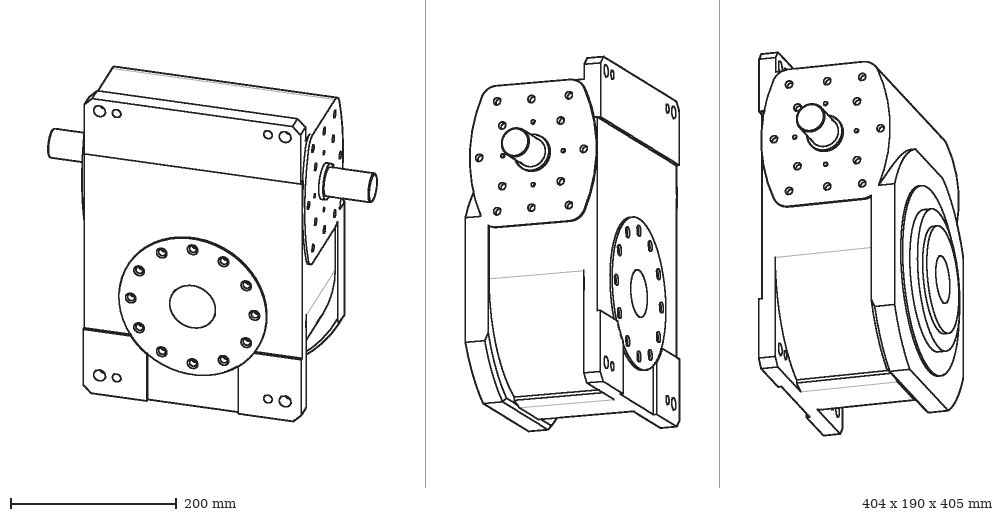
import cadquery as cq
import math


BODY_HALF = 137.3
BARREL_HALF = 140.0
TOP_FLANGE_HALF = 136.0

TOP_Z = 265.5
BODY_TOP_Z = 188.7
FOOT_TOP_Z = -51.0
FRONT_BOTTOM_Z = -137.0
REAR_BOTTOM_Z = TOP_Z - 405
REAR_TOP_Z = 150.0

FACE_STEP = 4.0
RING_Y = 1.2
MOUNT_THICK = 21.0
REAR_PLATE_Y = 143.0
REAR_FACE_Y = 172.5

SHAFT_Y = 85.5
SHAFT_Z = 150.0
SHAFT_RADIUS = 18.0
SHAFT_HALF = 202.0
SHAFT_CHAMFER = 1.2
COLLAR_RADIUS = 22.3
COLLAR_HALF = 145.5
BARREL_REACH = 81.5
BARREL_HALF_HEIGHT = 87.5
BARREL_SHOULDER = 60.0
BARREL_FILLET = 20.2

BORE_RADIUS = 28.8
RING_RADIUS = 92.7
REAR_PLATE_RADIUS = 160.0
REAR_PLATE_CHAMFER = 4.5
REAR_DISCS = [(115.5, 175.0), (86.3, 184.5), (65.2, 190.0)]

PAD_HALF = 50.5
PAD_SHOULDER_Z = -131.5
PAD_FLAT_HALF = 33.5

CORNER_CHAMFER = 10.0
FOOT_INNER_X = 57.5
BOLT_RADIUS = 7.3
BOLT_X = 116.5
PIN_RADIUS = 5.3
PIN_X = 95.0
MOUNT_HOLE_TOP_Z = 250.0
MOUNT_HOLE_BOTTOM_Z = -111.0

RING_HOLES = 12
RING_HOLE_CIRCLE = 77.8
RING_HOLE_RADIUS = 4.5
RING_HOLE_MOUTH = 6.5
RING_HOLE_DEPTH = 12.0

COVER_Y = 87.5
COVER_HOLE_RADIUS = 4.5
COVER_HOLE_CIRCLE = 67.2
INNER_HOLE_CIRCLE = 53.0
CORNER_HOLE_Y = 46.0
CORNER_HOLE_Z = 68.0
SEAL_HOLE_RADIUS = 2.5
SEAL_HOLE_CIRCLE = 39.0
END_HOLE_DEPTH = 8.0


def block(half_x, y_min, y_max, z_min, z_max):
    """Box centred on X = 0."""
    size = (2 * half_x, y_max - y_min, z_max - z_min)
    return cq.Workplane("XY").box(*size, centered=(True, False, False)).translate((0, y_min, z_min))


def cylinder_y(radius, y_min, y_max, x=0, z=0):
    """Cylinder running along +Y from y_min to y_max."""
    base = cq.Vector(x, y_min, z)
    return cq.Workplane(cq.Solid.makeCylinder(radius, y_max - y_min, base, cq.Vector(0, 1, 0)))


def cylinder_x(radius, x_min, x_max, y=SHAFT_Y, z=SHAFT_Z):
    """Cylinder running along +X from x_min to x_max."""
    base = cq.Vector(x_min, y, z)
    return cq.Workplane(cq.Solid.makeCylinder(radius, x_max - x_min, base, cq.Vector(1, 0, 0)))


def polar(radius, count, start_deg=0):
    """Points evenly spaced on a circle."""
    angles = [math.radians(start_deg + 360 * i / count) for i in range(count)]
    return [(radius * math.cos(a), radius * math.sin(a)) for a in angles]


def make_barrel():
    """Barrel-shaped input housing: flat top and bottom, bulging front and rear."""
    s = BARREL_SHOULDER
    h = BARREL_HALF_HEIGHT
    r = BARREL_REACH
    profile = (
        cq.Workplane("YZ", origin=(-BARREL_HALF, SHAFT_Y, SHAFT_Z))
        .moveTo(-s, -h)
        .lineTo(s, -h)
        .threePointArc((r, 0), (s, h))
        .lineTo(-s, h)
        .threePointArc((-r, 0), (-s, -h))
        .close()
    )
    return profile.extrude(2 * BARREL_HALF).edges("|X").fillet(BARREL_FILLET)


def make_housing():
    """Housing block rounded about the output axis, with the front plate and underside pad."""
    barrel_top = SHAFT_Z + BARREL_HALF_HEIGHT
    upper = block(BODY_HALF, FACE_STEP, REAR_PLATE_Y, 0, SHAFT_Z)
    front = block(BODY_HALF, FACE_STEP, MOUNT_THICK, FRONT_BOTTOM_Z, BODY_TOP_Z)
    web = block(TOP_FLANGE_HALF, MOUNT_THICK, SHAFT_Y, SHAFT_Z, barrel_top)
    round_bottom = cylinder_y(BODY_HALF, MOUNT_THICK, REAR_PLATE_Y)
    round_bottom = round_bottom.intersect(block(BODY_HALF, 0, REAR_PLATE_Y, FRONT_BOTTOM_Z, BODY_HALF))
    pad = (
        cq.Workplane("XZ", origin=(0, MOUNT_THICK, 0))
        .polyline([
            (-PAD_HALF, 0),
            (-PAD_HALF, PAD_SHOULDER_Z),
            (-PAD_FLAT_HALF, FRONT_BOTTOM_Z),
            (PAD_FLAT_HALF, FRONT_BOTTOM_Z),
            (PAD_HALF, PAD_SHOULDER_Z),
            (PAD_HALF, 0),
        ])
        .close()
        .extrude(MOUNT_THICK - REAR_PLATE_Y)
    )
    return upper.union(front).union(web).union(round_bottom).union(pad)


def make_mounts():
    """Top mounting flange and the two lower feet, trimmed around the output ring."""
    top = block(TOP_FLANGE_HALF, 0, MOUNT_THICK, BODY_TOP_Z, TOP_Z)
    feet = block(BODY_HALF, 0, FACE_STEP, FRONT_BOTTOM_Z, FOOT_TOP_Z)
    feet = feet.cut(block(FOOT_INNER_X, 0, FACE_STEP, FRONT_BOTTOM_Z, FOOT_TOP_Z))
    feet = feet.cut(cylinder_y(RING_RADIUS, 0, FACE_STEP))
    return top.edges("|Y and >Z").chamfer(CORNER_CHAMFER).union(feet)


def cut_lower_corners(body):
    """Bevel the lower corners of the front plate and feet."""
    for side in (-1, 1):
        corner = (
            cq.Workplane("XZ")
            .polyline([
                (side * BODY_HALF, FRONT_BOTTOM_Z),
                (side * (BODY_HALF - CORNER_CHAMFER), FRONT_BOTTOM_Z),
                (side * BODY_HALF, FRONT_BOTTOM_Z + CORNER_CHAMFER),
            ])
            .close()
            .extrude(-MOUNT_THICK)
        )
        body = body.cut(corner)
    return body


def make_rear_plate():
    """Round plate trimmed by flats on all four sides, its lower inner edge chamfered."""
    plate = cylinder_y(REAR_PLATE_RADIUS, REAR_PLATE_Y, REAR_FACE_Y)
    plate = plate.intersect(block(BARREL_HALF, REAR_PLATE_Y, REAR_FACE_Y, REAR_BOTTOM_Z, REAR_TOP_Z))
    margin = REAR_PLATE_CHAMFER
    lower_edges = cq.selectors.BoxSelector(
        (-BARREL_HALF, REAR_PLATE_Y - margin, REAR_BOTTOM_Z - margin),
        (BARREL_HALF, REAR_PLATE_Y + margin, 0),
    )
    return plate.edges(lower_edges).chamfer(REAR_PLATE_CHAMFER)


def make_shaft():
    """Input shaft through the barrel, with a collar at each end."""
    shaft = cylinder_x(SHAFT_RADIUS, -SHAFT_HALF, SHAFT_HALF)
    shaft = shaft.faces("<X or >X").chamfer(SHAFT_CHAMFER)
    return shaft.union(cylinder_x(COLLAR_RADIUS, -COLLAR_HALF, COLLAR_HALF))


def cut_mounting_holes(body):
    """Bolt and pin holes through the four mounting corners."""
    for z in (MOUNT_HOLE_TOP_Z, MOUNT_HOLE_BOTTOM_Z):
        for side in (-1, 1):
            body = body.cut(cylinder_y(BOLT_RADIUS, 0, MOUNT_THICK, side * BOLT_X, z))
            body = body.cut(cylinder_y(PIN_RADIUS, 0, MOUNT_THICK, side * PIN_X, z))
    return body


def cut_ring_holes(body):
    """Countersunk tapped holes around the output ring."""
    sink = RING_HOLE_MOUTH - RING_HOLE_RADIUS
    for x, z in polar(RING_HOLE_CIRCLE, RING_HOLES):
        body = body.cut(cylinder_y(RING_HOLE_RADIUS, RING_Y, RING_Y + RING_HOLE_DEPTH, x, z))
        mouth = cq.Solid.makeCone(
            RING_HOLE_MOUTH, RING_HOLE_RADIUS, sink, cq.Vector(x, RING_Y, z), cq.Vector(0, 1, 0)
        )
        body = body.cut(cq.Workplane(mouth))
    return body


def cut_end_holes(body):
    """Screw holes in both end faces of the barrel."""
    cover_points = polar(COVER_HOLE_CIRCLE, 4) + polar(INNER_HOLE_CIRCLE, 4, 45)
    corner_points = [(i * CORNER_HOLE_Y, j * CORNER_HOLE_Z) for i in (-1, 1) for j in (-1, 1)]
    holes = [(COVER_Y + y, SHAFT_Z + z, COVER_HOLE_RADIUS) for y, z in cover_points]
    holes += [(SHAFT_Y + y, SHAFT_Z + z, COVER_HOLE_RADIUS) for y, z in corner_points]
    holes += [(SHAFT_Y + y, SHAFT_Z + z, SEAL_HOLE_RADIUS) for y, z in polar(SEAL_HOLE_CIRCLE, 4)]
    floor = BARREL_HALF - END_HOLE_DEPTH
    for y, z, radius in holes:
        body = body.cut(cylinder_x(radius, -BARREL_HALF, -floor, y, z))
        body = body.cut(cylinder_x(radius, floor, BARREL_HALF, y, z))
    return body


gearbox = cut_lower_corners(make_housing().union(make_mounts()))
gearbox = gearbox.union(make_barrel()).union(make_rear_plate())
gearbox = gearbox.union(cylinder_y(RING_RADIUS, RING_Y, MOUNT_THICK))
for disc_radius, disc_y in REAR_DISCS:
    gearbox = gearbox.union(cylinder_y(disc_radius, REAR_PLATE_Y, disc_y))
gearbox = gearbox.union(make_shaft())
gearbox = cut_mounting_holes(gearbox)
gearbox = cut_ring_holes(gearbox)
gearbox = cut_end_holes(gearbox)
result = gearbox.cut(cylinder_y(BORE_RADIUS, 0, REAR_DISCS[-1][1]))